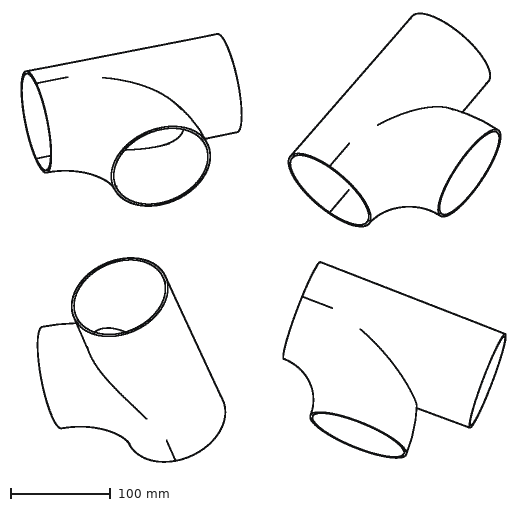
import cadquery as cq

run_length = 200.0
inlet_radius = 52.0
outlet_radius = 50.5
wall = 2.5
bend_radius = 100.0
bend_angle = 90.0


def straight_run(inset):
    """Solid cone along Y, its surface lying inset inside the outer skin."""
    profile = (
        cq.Workplane("XY")
        .lineTo(inlet_radius - inset, 0)
        .lineTo(outlet_radius - inset, run_length)
        .lineTo(0, run_length)
        .close()
    )
    return profile.revolve(360, (0, 0), (0, 1))


def elbow(inset):
    """Solid bend from the inlet, kept only on the +X side of the run's axis.

    The -X side is left to the straight run. inset is as for the straight run.
    """
    section = cq.Workplane("XZ").circle(inlet_radius - inset)
    bend = section.revolve(bend_angle, (bend_radius, 0), (bend_radius, -1))
    branch_side = cq.Workplane("XY").box(
        run_length, run_length, run_length, centered=(False, False, True)
    )
    return bend.intersect(branch_side)


def branch(inset):
    """Straight run and elbow joined at their shared inlet."""
    return straight_run(inset).union(elbow(inset))


result = branch(0).cut(branch(wall))